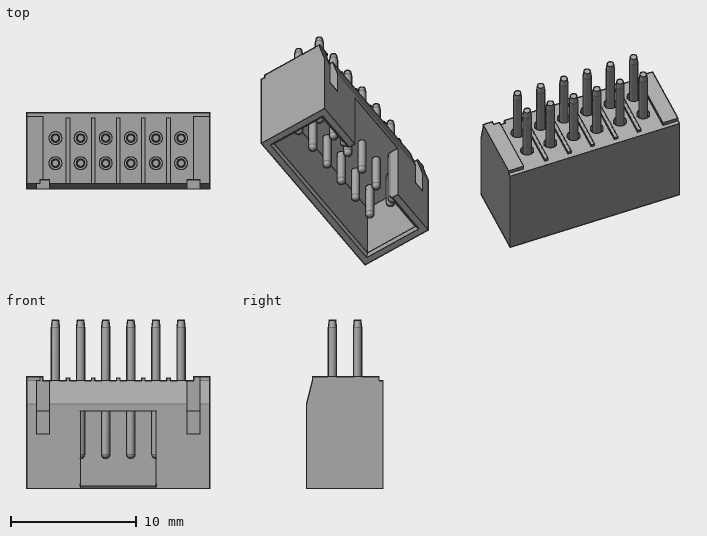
import cadquery as cq

length = 14.6
depth = 6.1
base_height = 8.6
wall = 0.75
ceiling_z = 6.19
mouth_chamfer = 0.22
bevel_depth = 0.47
bevel_bottom_z = 6.72

window_width = 6.05
rib_radius = 0.35
rib_end_z = 0.42

pad_width = 1.3
pad_height = 0.3
pad_back_gap = 0.32
slot_width = 1.02
slot_inset = 0.8
slot_depth = 0.76
slot_floor_z = 4.37
left_pad_notch_x = 1.08

columns = 6
rows = 2
pitch = 2.0
front_row_y = 2.07
pin_radius = 0.34
pin_tip_radius = 0.26
pin_taper = 0.57
pin_top_z = 13.4
pin_bottom_z = 2.4
recess_radius = 0.51
recess_depth = 1.0
ridge_width = 0.29
ridge_height = 0.22
ridge_back_gap = 0.42

middle_x = length / 2
pad_top_z = base_height + pad_height
first_pin_x = middle_x - pitch * (columns - 1) / 2
pin_points = [
    (first_pin_x + column * pitch, front_row_y + row * pitch)
    for column in range(columns)
    for row in range(rows)
]


def block(x0, x1, y0, y1, z0, z1):
    """Box given by its limits along each axis."""
    return cq.Workplane("XY").box(x1 - x0, y1 - y0, z1 - z0, centered=False).translate((x0, y0, z0))


def make_shell():
    """Bevelled block with a chamfered cavity open at the bottom."""
    shell = (
        cq.Workplane("YZ")
        .polyline([
            (0, 0),
            (depth, 0),
            (depth, base_height),
            (bevel_depth, base_height),
            (0, bevel_bottom_z),
        ])
        .close()
        .extrude(length)
    )
    cavity = block(wall, length - wall, wall, depth - wall, 0, ceiling_z)
    mouth_margin = 2 * (wall - mouth_chamfer)
    mouth = (
        cq.Workplane("XY", origin=(middle_x, depth / 2, 0))
        .rect(length - mouth_margin, depth - mouth_margin)
        .extrude(mouth_chamfer, taper=45)
    )
    return shell.cut(cavity).cut(mouth)


def make_window_rib(x):
    """Upright round rib on the inner face of the front wall, with a ball end."""
    post = (
        cq.Workplane("XY", origin=(x, wall, rib_end_z))
        .circle(rib_radius)
        .extrude(ceiling_z - rib_end_z)
    )
    ball = cq.Workplane("XY", origin=(x, wall, rib_end_z)).sphere(rib_radius)
    return post.union(ball)


def make_pad(x0):
    """Raised pad on one end of the top face."""
    return block(x0, x0 + pad_width, bevel_depth, depth - pad_back_gap, base_height, pad_top_z)


def make_ridge(x):
    """Low ridge between two neighbouring pin columns."""
    return block(
        x - ridge_width / 2, x + ridge_width / 2,
        bevel_depth, depth - ridge_back_gap,
        base_height, base_height + ridge_height,
    )


def make_pin():
    """Round pin on the z axis, with a tapered top and a domed bottom."""
    dome_z = pin_bottom_z + pin_radius
    dome_middle = pin_radius * 0.5 ** 0.5
    return (
        cq.Workplane("XZ")
        .moveTo(0, pin_bottom_z)
        .threePointArc((dome_middle, dome_z - dome_middle), (pin_radius, dome_z))
        .lineTo(pin_radius, pin_top_z - pin_taper)
        .lineTo(pin_tip_radius, pin_top_z)
        .lineTo(0, pin_top_z)
        .close()
        .revolve(360, (0, 0, 0), (0, 1, 0))
    )


window_left = middle_x - window_width / 2
window_right = middle_x + window_width / 2
result = make_shell()
for rib_x in (window_left - rib_radius, window_right + rib_radius):
    result = result.union(make_window_rib(rib_x))
result = result.cut(block(window_left, window_right, 0, wall, 0, ceiling_z))

for pad_x in (0, length - pad_width):
    result = result.union(make_pad(pad_x))
left_slot_end = slot_inset + slot_width
right_slot_start = length - left_slot_end
result = result.cut(block(slot_inset, left_slot_end, 0, slot_depth, slot_floor_z, base_height))
result = result.cut(block(left_pad_notch_x, left_slot_end, 0, slot_depth, base_height, pad_top_z))
result = result.cut(
    block(right_slot_start, length - slot_inset, 0, slot_depth, slot_floor_z, pad_top_z)
)

for gap in range(columns - 1):
    result = result.union(make_ridge(first_pin_x + (gap + 0.5) * pitch))

result = result.cut(
    cq.Workplane("XY", origin=(0, 0, base_height))
    .pushPoints(pin_points)
    .circle(recess_radius)
    .extrude(-recess_depth)
)
for pin_x, pin_y in pin_points:
    result = result.union(make_pin().translate((pin_x, pin_y, 0)))